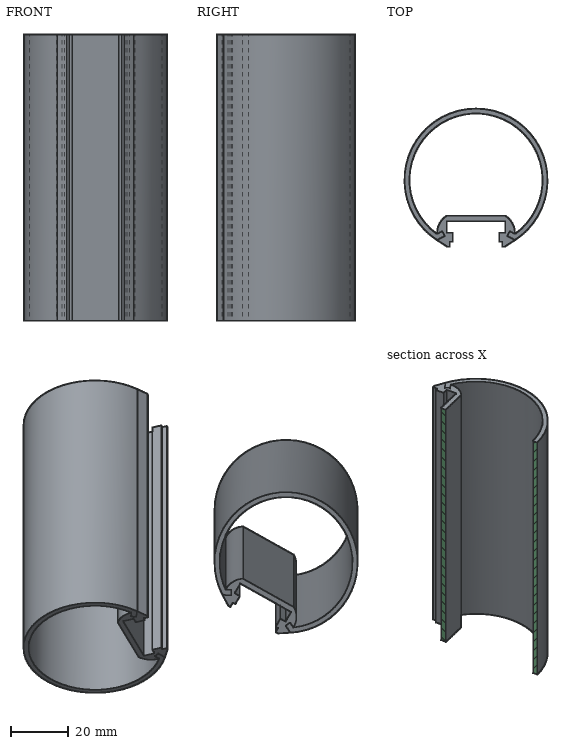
import cadquery as cq
import math

length = 100.0
outer_radius = 25.0
wall = 1.8
inner_radius = outer_radius - wall

tube_end_x = 13.4
tube_end_y = -math.sqrt(outer_radius**2 - tube_end_x**2)
tongue_offset = 0.3
tongue_length = 2.8
tongue_thickness = 1.9
tongue_angle = math.radians(27)

channel_half_width = 10.2
bridge_top = -12.4
bridge_thickness = 2.0
lip_half_gap = 8.1
lip_top = -18.3
lip_bottom = -21.6
foot_half_gap = 9.1
foot_outer_x = 10.0
foot_bottom = -23.3
wing_bulge_x = 12.7
wing_bulge_y = -15.0


def tongue_corners():
    """Right-hand tongue corners: lower root, lower tip, upper tip, upper root."""
    along = (-math.cos(tongue_angle), math.sin(tongue_angle))
    across = (math.sin(tongue_angle), math.cos(tongue_angle))
    lower_root = (tube_end_x, tube_end_y + tongue_offset)
    lower_tip = (lower_root[0] + tongue_length * along[0], lower_root[1] + tongue_length * along[1])
    upper_tip = (
        lower_tip[0] + tongue_thickness * across[0],
        lower_tip[1] + tongue_thickness * across[1],
    )
    projection = upper_tip[0] * along[0] + upper_tip[1] * along[1]
    tip_radius_squared = upper_tip[0]**2 + upper_tip[1]**2
    run = projection + math.sqrt(projection**2 + inner_radius**2 - tip_radius_squared)
    upper_root = (upper_tip[0] - run * along[0], upper_tip[1] - run * along[1])
    return lower_root, lower_tip, upper_tip, upper_root


def mirrored(points):
    """Mirror points about X = 0 and reverse their order."""
    return [(-x, y) for x, y in reversed(points)]


def draw_lines(sketch, points):
    """Continue an outline with straight lines through the points."""
    for point in points:
        sketch = sketch.lineTo(*point)
    return sketch


def make_tube():
    """Split round tube whose two edges end in inward tongues."""
    hook = [(tube_end_x, tube_end_y), *tongue_corners()]
    left_hook = mirrored(hook)
    outline = cq.Workplane("XY").moveTo(*hook[0])
    outline = draw_lines(outline, hook[1:])
    outline = outline.threePointArc((0, inner_radius), left_hook[0])
    outline = draw_lines(outline, left_hook[1:])
    outline = outline.threePointArc((0, outer_radius), hook[0])
    return outline.close().extrude(length)


def make_channel():
    """Channel that closes the tube, with a slot each side for the tongues."""
    lower_root, lower_tip, upper_tip, upper_root = tongue_corners()
    bridge_bottom = bridge_top - bridge_thickness
    inside = [
        (channel_half_width, bridge_bottom),
        (channel_half_width, lip_top),
        (lip_half_gap, lip_top),
        (lip_half_gap, lip_bottom),
        (foot_half_gap, lip_bottom),
        (foot_half_gap, foot_bottom),
        (foot_outer_x, foot_bottom),
        (tube_end_x, tube_end_y),
        lower_root,
        lower_tip,
        upper_tip,
        upper_root,
    ]
    right_shoulder = (channel_half_width, bridge_top)
    left_shoulder = (-channel_half_width, bridge_top)
    left_inside = mirrored(inside)
    outline = cq.Workplane("XY").moveTo(*inside[0])
    outline = draw_lines(outline, inside[1:])
    outline = outline.threePointArc((wing_bulge_x, wing_bulge_y), right_shoulder)
    outline = outline.lineTo(*left_shoulder)
    outline = outline.threePointArc((-wing_bulge_x, wing_bulge_y), left_inside[0])
    outline = draw_lines(outline, left_inside[1:])
    return outline.close().extrude(length)


tube = make_tube()
channel = make_channel()
result = cq.Compound.makeCompound([tube.val(), channel.val()])